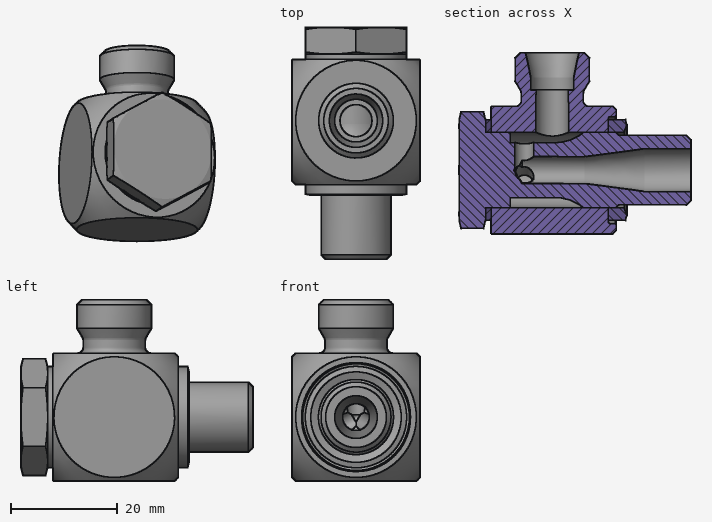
import cadquery as cq
import math


CUBE_SIDE = 24.0
HALF_CUBE = CUBE_SIDE / 2
FACE_CIRCLE_DIAMETER = 22.6
SPHERE_RADIUS = math.hypot(HALF_CUBE, FACE_CIRCLE_DIAMETER / 2)
REAR_FACE_SET_IN = 0.52
FRONT_FACE_Y = -HALF_CUBE
REAR_FACE_Y = HALF_CUBE - REAR_FACE_SET_IN

NOZZLE_HEIGHT = 10
NOZZLE_TOP_Z = HALF_CUBE + NOZZLE_HEIGHT
COLLAR_DIAMETER = 14.0
COLLAR_CHAMFER = 0.95
COLLAR_HEIGHT = 5.4
NECK_DIAMETER = 11.7
UNDERCUT_ANGLE = 30
NECK_TOP_FILLET = 0.7
NECK_BASE_FILLET = 1.0
SOCKET_MOUTH_DIAMETER = 10
SOCKET_FLOOR_DIAMETER = 8.0
SOCKET_HALF_ANGLE = 12
SOCKET_DEPTH = 6.95
BRANCH_HOLE_DIAMETER = 6.0

RING_DIAMETER = 19.0
RING_PROTRUSION = 2.0
RING_RIM_DIAMETER = 16.95
RING_BEVEL_DEPTH = 0.25
RING_COUNTERSINK_DEPTH = 0.52
RECESS_DIAMETER = 20
RECESS_FILLET = 0.4
RECESS_CHAMFER = 0.2
RECESS_DEPTH = 1.5
RECESS_FLOOR_Y = FRONT_FACE_Y + RECESS_DEPTH
RING_FRONT_Y = FRONT_FACE_Y - RING_PROTRUSION
WASHER_THICKNESS = 1.0

SHANK_DIAMETER = 14.1
STUD_DIAMETER = 13.15
STUD_LENGTH = 12.0
STUD_CHAMFER = 0.85
STUD_TIP_Y = RING_FRONT_Y - STUD_LENGTH
SHOULDER_DEPTH_IN_RING = 2.0
SHANK_FRONT_Y = RING_FRONT_Y + SHOULDER_DEPTH_IN_RING
HEX_SIDES = 6
HEX_FLATS = 19.0
HEX_THICKNESS = 5.0
HEX_CORNER_BEVEL_ANGLE = 15
HEX_FRONT_Y = REAR_FACE_Y + WASHER_THICKNESS
HEX_REAR_Y = HEX_FRONT_Y + HEX_THICKNESS
WAIST_DIAMETER = 10.4
WAIST_FRONT_Y = -0.65
WAIST_ARC_RADIUS = 8.0
WAIST_REAR_Y = 7.85
STUD_BORE_DIAMETER = 8.0
INNER_BORE_DIAMETER = 5.0
STUD_BORE_DEPTH = 8.7
BORE_TAPER_HALF_ANGLE = 7.6
DRILL_HALF_ANGLE = 59
PORT_DIAMETER = 3.5
PORT_COUNT = 3
PORT_Y = 5.2
PORT_START_RADIUS = 0.5
BORE_PAST_PORT_AXIS = 0.45
BORE_END_Y = PORT_Y + BORE_PAST_PORT_AXIS

SELECTION_MARGIN = 0.05


def cylinder_y(diameter, y_start, y_end):
    """Cylinder on the Y axis between two Y positions."""
    return cq.Workplane("XZ", origin=(0, y_end, 0)).circle(diameter / 2).extrude(y_end - y_start)


def turned_y(profile):
    """Revolve a closed (radius, y) profile drawn in the XY plane about the Y axis."""
    return profile.close().revolve(360, (0, 0, 0), (0, 1, 0))


def tan_deg(angle):
    return math.tan(math.radians(angle))


def smallest_circle_at(body, center):
    """The smallest circular edge of a body whose centre is at the given point."""
    low = tuple(value - SELECTION_MARGIN for value in center)
    high = tuple(value + SELECTION_MARGIN for value in center)
    circles = body.edges("%CIRCLE").edges(cq.selectors.BoxSelector(low, high))
    return circles.edges(cq.selectors.RadiusNthSelector(0))


def make_nozzle():
    """Chamfered collar on a conical undercut and a narrower neck."""
    collar_radius = COLLAR_DIAMETER / 2
    neck_radius = NECK_DIAMETER / 2
    collar_bottom_z = NOZZLE_TOP_Z - COLLAR_HEIGHT
    undercut_end_z = collar_bottom_z - (collar_radius - neck_radius) / tan_deg(UNDERCUT_ANGLE)
    nozzle = (
        cq.Workplane("XZ")
        .moveTo(0, 0)
        .lineTo(neck_radius, 0)
        .lineTo(neck_radius, undercut_end_z)
        .lineTo(collar_radius, collar_bottom_z)
        .lineTo(collar_radius, NOZZLE_TOP_Z)
        .lineTo(0, NOZZLE_TOP_Z)
        .close()
        .revolve(360, (0, 0, 0), (0, 1, 0))
    )
    neck_top_edge = cq.selectors.NearestToPointSelector((0, 0, undercut_end_z))
    nozzle = nozzle.edges(neck_top_edge).fillet(NECK_TOP_FILLET)
    return nozzle.faces(">Z").edges().chamfer(COLLAR_CHAMFER)


def make_branch_bore():
    """Conical socket, its straight end and the hole down to the run bore."""
    socket_floor_z = NOZZLE_TOP_Z - SOCKET_DEPTH
    cone_depth = (SOCKET_MOUTH_DIAMETER - SOCKET_FLOOR_DIAMETER) / 2 / tan_deg(SOCKET_HALF_ANGLE)
    cone_end_z = NOZZLE_TOP_Z - cone_depth
    return (
        cq.Workplane("XZ")
        .moveTo(0, 0)
        .lineTo(BRANCH_HOLE_DIAMETER / 2, 0)
        .lineTo(BRANCH_HOLE_DIAMETER / 2, socket_floor_z)
        .lineTo(SOCKET_FLOOR_DIAMETER / 2, socket_floor_z)
        .lineTo(SOCKET_FLOOR_DIAMETER / 2, cone_end_z)
        .lineTo(SOCKET_MOUTH_DIAMETER / 2, NOZZLE_TOP_Z)
        .lineTo(0, NOZZLE_TOP_Z)
        .close()
        .revolve(360, (0, 0, 0), (0, 1, 0))
    )


def make_housing():
    """Rounded cube with its nozzle, the seal recess, the through bore and the branch bore."""
    block = cq.Workplane("XY").box(CUBE_SIDE, CUBE_SIDE, CUBE_SIDE)
    block = block.intersect(cq.Workplane("XY").sphere(SPHERE_RADIUS))
    block = block.cut(cylinder_y(2 * SPHERE_RADIUS, REAR_FACE_Y, HALF_CUBE))
    housing = block.union(make_nozzle())
    neck_base = smallest_circle_at(housing, (0, 0, HALF_CUBE))
    housing = neck_base.fillet(NECK_BASE_FILLET)

    recess = cylinder_y(RECESS_DIAMETER, FRONT_FACE_Y, RECESS_FLOOR_Y)
    recess = recess.faces(">Y").edges().fillet(RECESS_FILLET)
    housing = housing.cut(recess)
    recess_mouth = smallest_circle_at(housing, (0, FRONT_FACE_Y, 0))
    housing = recess_mouth.chamfer(RECESS_CHAMFER)
    housing = housing.cut(cylinder_y(SHANK_DIAMETER, FRONT_FACE_Y, REAR_FACE_Y))
    return housing.cut(make_branch_bore())


def make_seal_ring():
    """Front ring with a shallow outer bevel and a shallow countersink down to its bore."""
    return turned_y(
        cq.Workplane("XY")
        .moveTo(SHANK_DIAMETER / 2, RECESS_FLOOR_Y)
        .lineTo(RING_DIAMETER / 2, RECESS_FLOOR_Y)
        .lineTo(RING_DIAMETER / 2, RING_FRONT_Y + RING_BEVEL_DEPTH)
        .lineTo(RING_RIM_DIAMETER / 2, RING_FRONT_Y)
        .lineTo(SHANK_DIAMETER / 2, RING_FRONT_Y + RING_COUNTERSINK_DEPTH)
    )


def make_washer():
    """Plain washer between the housing's rear face and the hexagon."""
    washer = cylinder_y(RING_DIAMETER, REAR_FACE_Y, HEX_FRONT_Y)
    return washer.cut(cylinder_y(SHANK_DIAMETER, REAR_FACE_Y, HEX_FRONT_Y))


def make_hex_head():
    """Hexagon with corners on Z, its corners bevelled at both ends."""
    corner_radius = HEX_FLATS / 2 / math.cos(math.pi / HEX_SIDES)
    face_radius = HEX_FLATS / 2
    bevel = (corner_radius - face_radius) * tan_deg(HEX_CORNER_BEVEL_ANGLE)
    hexagon = (
        cq.Workplane("XZ", origin=(0, HEX_REAR_Y, 0))
        .transformed(rotate=(0, 0, 90))
        .polygon(HEX_SIDES, 2 * corner_radius)
        .extrude(HEX_THICKNESS)
    )
    bevels = turned_y(
        cq.Workplane("XY")
        .moveTo(0, HEX_FRONT_Y)
        .lineTo(face_radius, HEX_FRONT_Y)
        .lineTo(corner_radius, HEX_FRONT_Y + bevel)
        .lineTo(corner_radius, HEX_REAR_Y - bevel)
        .lineTo(face_radius, HEX_REAR_Y)
        .lineTo(0, HEX_REAR_Y)
    )
    return hexagon.intersect(bevels)


def make_shank():
    """Stud, shoulder cone and shank, with a waist that runs out forward in a large arc."""
    stud_radius = STUD_DIAMETER / 2
    shank_radius = SHANK_DIAMETER / 2
    waist_radius = WAIST_DIAMETER / 2
    shoulder = shank_radius - stud_radius
    arc_angle = math.acos(1 - (shank_radius - waist_radius) / WAIST_ARC_RADIUS)
    arc_start_y = WAIST_FRONT_Y - WAIST_ARC_RADIUS * math.sin(arc_angle)
    arc_mid_y = WAIST_FRONT_Y - WAIST_ARC_RADIUS * math.sin(arc_angle / 2)
    arc_mid_radius = waist_radius + WAIST_ARC_RADIUS * (1 - math.cos(arc_angle / 2))
    return turned_y(
        cq.Workplane("XY")
        .moveTo(0, STUD_TIP_Y)
        .lineTo(stud_radius - STUD_CHAMFER, STUD_TIP_Y)
        .lineTo(stud_radius, STUD_TIP_Y + STUD_CHAMFER)
        .lineTo(stud_radius, SHANK_FRONT_Y - shoulder)
        .lineTo(shank_radius, SHANK_FRONT_Y)
        .lineTo(shank_radius, arc_start_y)
        .threePointArc((arc_mid_radius, arc_mid_y), (waist_radius, WAIST_FRONT_Y))
        .lineTo(waist_radius, WAIST_REAR_Y)
        .lineTo(shank_radius, WAIST_REAR_Y)
        .lineTo(shank_radius, HEX_FRONT_Y)
        .lineTo(0, HEX_FRONT_Y)
    )


def make_bolt_bore():
    """Stepped blind bore from the stud tip, with a taper between its two sizes and a drill-point end."""
    stud_bore_radius = STUD_BORE_DIAMETER / 2
    inner_radius = INNER_BORE_DIAMETER / 2
    stud_bore_end_y = STUD_TIP_Y + STUD_BORE_DEPTH
    step_end_y = stud_bore_end_y + (stud_bore_radius - inner_radius) / tan_deg(BORE_TAPER_HALF_ANGLE)
    drill_tip_y = BORE_END_Y + inner_radius / tan_deg(DRILL_HALF_ANGLE)
    return turned_y(
        cq.Workplane("XY")
        .moveTo(0, STUD_TIP_Y)
        .lineTo(stud_bore_radius, STUD_TIP_Y)
        .lineTo(stud_bore_radius, stud_bore_end_y)
        .lineTo(inner_radius, step_end_y)
        .lineTo(inner_radius, BORE_END_Y)
        .lineTo(0, drill_tip_y)
    )


def make_port(index):
    """Radial port from just outside the bolt axis, the first one pointing up."""
    port = (
        cq.Workplane("XY", origin=(0, PORT_Y, PORT_START_RADIUS))
        .transformed(rotate=(0, 0, 90))
        .circle(PORT_DIAMETER / 2)
        .extrude(SHANK_DIAMETER / 2 - PORT_START_RADIUS)
    )
    return port.rotate((0, 0, 0), (0, 1, 0), index * 360 / PORT_COUNT)


def make_bolt():
    """Hollow bolt whose ports join its blind bore to the waist."""
    bolt = make_shank().union(make_hex_head()).cut(make_bolt_bore())
    for index in range(PORT_COUNT):
        bolt = bolt.cut(make_port(index))
    return bolt


housing = make_housing()
seal_ring = make_seal_ring()
washer = make_washer()
bolt = make_bolt()

result = cq.Compound.makeCompound([housing.val(), seal_ring.val(), washer.val(), bolt.val()])